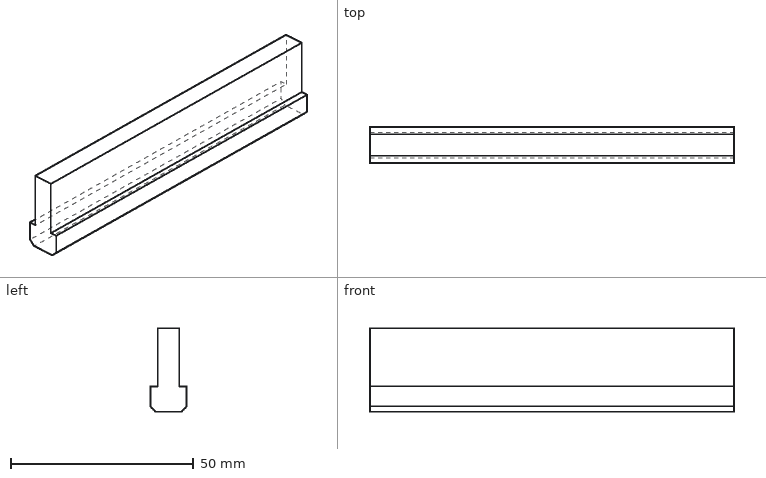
import cadquery as cq

length = 100.0
height = 23.0

base_width = 10.0
base_height = 7.0
bevel = 1.5

web_width = 6.0

half_base = base_width / 2
half_web = web_width / 2

half_profile = (
    cq.Workplane("YZ", origin=(-length / 2, 0, 0))
    .moveTo(0, 0)
    .lineTo(half_base - bevel, 0)
    .lineTo(half_base, bevel)
    .lineTo(half_base, base_height)
    .lineTo(half_web, base_height)
    .lineTo(half_web, height)
    .lineTo(0, height)
)

result = half_profile.mirrorY().extrude(length)